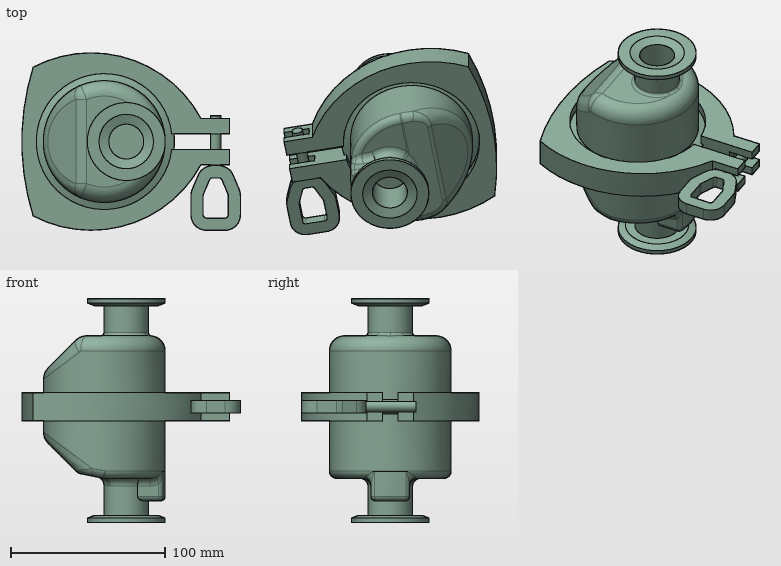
import cadquery as cq
import math

CHAMBER_DIA = 79.0
CHAMBER_RADIUS = CHAMBER_DIA / 2

ROOF_Z = 46.0
TOP_BEVEL_FOOT_Z = 22.0
TOP_FILLET = 10.0

FLOOR_Z = -46.5
BOTTOM_BEVEL_FOOT_Z = -20.5
BOTTOM_BEVEL_FILLET = 10.0
RAMP_RISE = 3.4
RAMP_END_X = 0.0
FLOOR_FILLET = 5.0

FERRULE_DIA = 50.5
FERRULE_RIM = 2.85
FERRULE_THICKNESS = 4.7
FERRULE_BACK_DIA = 41.0
TUBE_DIA = 29.0
BORE_DIA = 22.6
BORE_MOUTH_DIA = 35.2
BORE_MOUTH_DEPTH = 2.1
PORT_X = CHAMBER_RADIUS - FERRULE_DIA / 2
TOP_PORT_Z = 70.0
BOTTOM_PORT_Z = -75.0
TOP_TUBE_FILLET = 2.0
BOTTOM_TUBE_FILLET = 5.0

LUG_WIDTH = 25.0
LUG_BOTTOM_Z = -61.0
LUG_TOP_Z = -42.0
LUG_FILLET = 3.0

FLANGE_DIA = 91.0
FLANGE_RIM = 5.0
FLANGE_SLOPE = math.radians(20)

CLAMP_HEIGHT = 18.4
CLAMP_OPENING_DIA = 88.0
CLAMP_BACK_X = -53.42
CLAMP_CORNER = (-46.1, 48.2)
CLAMP_CREST = (-8.3, 57.51)
CLAMP_ARM_ROOT_X = 62.6
CLAMP_ARM_END_X = 81.2
CLAMP_ARM_Y = 15.1
CLAMP_GAP = 10.0

PIN_DIA = 7.0
PIN_X = 72.18
PIN_END_Y = 16.8
PIN_SLOT_X = 64.7
HANDLE_HEIGHT = 8.2
HANDLE_WALL = 8.0
WINDOW_TOP_Y = -23.6
WINDOW_SHOULDER_Y = -34.5
WINDOW_BOTTOM_Y = -49.51
WINDOW_WIDTH = 16.14
WINDOW_TOP_WIDTH = 6.9
WINDOW_CORNER = 2.0


def prism(points):
    """Extrude an XZ outline far enough in Y to span the whole chamber."""
    return cq.Workplane("XZ").polyline(points).close().extrude(CHAMBER_DIA, both=True)


def bevelled_cylinder(end_z, foot_z):
    """Half of the chamber, from Z = 0 to end_z, with a 45 degree bevel on its -X side."""
    bevel_end_x = abs(end_z - foot_z) - CHAMBER_RADIUS
    keep = prism(
        [
            (-CHAMBER_RADIUS, 0),
            (CHAMBER_RADIUS, 0),
            (CHAMBER_RADIUS, end_z),
            (bevel_end_x, end_z),
            (-CHAMBER_RADIUS, foot_z),
        ]
    )
    return cq.Workplane("XY").circle(CHAMBER_RADIUS).extrude(end_z).intersect(keep)


def box_between(x, z):
    """Selector for edges centred inside the given X and Z ranges."""
    reach = CHAMBER_DIA
    return cq.selectors.BoxSelector((x[0], -reach, z[0]), (x[1], reach, z[1]))


def edges_within(reach, z):
    """Selector for edges lying wholly within reach of the port axis and in a Z range."""
    return cq.selectors.BoxSelector(
        (PORT_X - reach, -reach, z[0]), (PORT_X + reach, reach, z[1]), boundingbox=True
    )


def upper_chamber():
    half = bevelled_cylinder(ROOF_Z, TOP_BEVEL_FOOT_Z)
    seam_x = CHAMBER_RADIUS - 1
    rounded = box_between((-CHAMBER_RADIUS, seam_x), (TOP_BEVEL_FOOT_Z, ROOF_Z + 1))
    return half.edges(rounded).fillet(TOP_FILLET)


def lower_chamber():
    long_end_z = BOTTOM_BEVEL_FOOT_Z - CHAMBER_RADIUS
    half = bevelled_cylinder(long_end_z, BOTTOM_BEVEL_FOOT_Z)
    bevel_curve = box_between((-CHAMBER_RADIUS, -1), (long_end_z + 1, -1))
    half = half.edges(bevel_curve).fillet(BOTTOM_BEVEL_FILLET)

    ramp_start_z = FLOOR_Z + RAMP_RISE
    ramp_start_x = BOTTOM_BEVEL_FOOT_Z - ramp_start_z - CHAMBER_RADIUS
    below_floor = prism(
        [
            (CHAMBER_DIA, FLOOR_Z),
            (RAMP_END_X, FLOOR_Z),
            (ramp_start_x, ramp_start_z),
            (-CHAMBER_DIA, ramp_start_z),
            (-CHAMBER_DIA, 2 * BOTTOM_PORT_Z),
            (CHAMBER_DIA, 2 * BOTTOM_PORT_Z),
        ]
    )
    half = half.cut(below_floor)
    low_edges = box_between((-CHAMBER_DIA, CHAMBER_DIA), (FLOOR_Z - 1, ramp_start_z + 1))
    return half.edges(low_edges).fillet(FLOOR_FILLET)


def flange():
    """Flange whose two faces slope away from the chamber wall."""
    rim_radius = FLANGE_DIA / 2
    rim_z = FLANGE_RIM / 2
    root_z = rim_z + rim_radius * math.tan(FLANGE_SLOPE)
    return (
        cq.Workplane("XZ")
        .polyline([(0, -root_z), (rim_radius, -rim_z), (rim_radius, rim_z), (0, root_z)])
        .close()
        .revolve(360, (0, 0, 0), (0, 1, 0))
    )


def port_turning(points, end_z):
    """Revolve (radius, depth below the port face) points about the port axis."""
    inward = -math.copysign(1, end_z)
    outline = [(radius, end_z + inward * depth) for radius, depth in points]
    turned = cq.Workplane("XZ").polyline(outline).close().revolve(360, (0, 0, 0), (0, 1, 0))
    return turned.translate((PORT_X, 0, 0))


def tube(end_z):
    return cq.Workplane("XY").center(PORT_X, 0).circle(TUBE_DIA / 2).extrude(end_z)


def ferrule(end_z):
    return port_turning(
        [
            (0, 0),
            (FERRULE_DIA / 2, 0),
            (FERRULE_DIA / 2, FERRULE_RIM),
            (FERRULE_BACK_DIA / 2, FERRULE_THICKNESS),
            (0, FERRULE_THICKNESS),
        ],
        end_z,
    )


def bore(end_z, floor_z):
    """Blind bore with a conical mouth, ending level with the chamber wall."""
    depth = abs(end_z - floor_z)
    return port_turning(
        [
            (0, 0),
            (BORE_MOUTH_DIA / 2, 0),
            (BORE_DIA / 2, BORE_MOUTH_DEPTH),
            (BORE_DIA / 2, depth),
            (0, depth),
        ],
        end_z,
    )


def lug():
    """Block under the floor whose outer face follows the chamber wall."""
    height = LUG_TOP_Z - LUG_BOTTOM_Z
    base = cq.Workplane("XY").workplane(offset=LUG_BOTTOM_Z)
    disc = base.circle(CHAMBER_RADIUS).extrude(height)
    bar = base.center(PORT_X + CHAMBER_RADIUS, 0).rect(CHAMBER_DIA, LUG_WIDTH).extrude(height)
    block = disc.intersect(bar)
    outer_corners = box_between((PORT_X + 1, CHAMBER_RADIUS - 1), (LUG_BOTTOM_Z, LUG_TOP_Z))
    block = block.edges("|Z").edges(outer_corners).fillet(LUG_FILLET)
    return block.faces("<Z").edges("not <X").fillet(LUG_FILLET)


def upper_half():
    joined = upper_chamber().union(tube(TOP_PORT_Z))
    tube_foot = edges_within(TUBE_DIA / 2 + 1, (ROOF_Z - 1, ROOF_Z + 1))
    return joined.edges(tube_foot).fillet(TOP_TUBE_FILLET)


def lower_half():
    joined = lower_chamber().union(tube(BOTTOM_PORT_Z)).union(lug())
    lug_reach = CHAMBER_RADIUS - PORT_X - 2
    tube_and_lug_foot = edges_within(lug_reach, (FLOOR_Z - 0.5, FLOOR_Z + 2))
    return joined.edges(tube_and_lug_foot).fillet(BOTTOM_TUBE_FILLET)


def centred_extrude(sketch, height):
    return sketch.extrude(height / 2, both=True)


def clamp_plate():
    corner_x, corner_y = CLAMP_CORNER
    crest_x, crest_y = CLAMP_CREST
    outline = (
        cq.Workplane("XY")
        .moveTo(corner_x, corner_y)
        .threePointArc((crest_x, crest_y), (CLAMP_ARM_ROOT_X, CLAMP_ARM_Y))
        .lineTo(CLAMP_ARM_END_X, CLAMP_ARM_Y)
        .lineTo(CLAMP_ARM_END_X, -CLAMP_ARM_Y)
        .lineTo(CLAMP_ARM_ROOT_X, -CLAMP_ARM_Y)
        .threePointArc((crest_x, -crest_y), (corner_x, -corner_y))
        .threePointArc((CLAMP_BACK_X, 0), (corner_x, corner_y))
        .close()
    )
    plate = centred_extrude(outline, CLAMP_HEIGHT)
    opening = centred_extrude(cq.Workplane("XY").circle(CLAMP_OPENING_DIA / 2), CLAMP_HEIGHT)
    gap = cq.Workplane("XY").box(CLAMP_ARM_END_X, CLAMP_GAP, CLAMP_HEIGHT, centered=(False, True, True))
    slot_length = CLAMP_ARM_END_X - PIN_SLOT_X
    pin_slot = cq.Workplane("XY", origin=(PIN_SLOT_X, 0, 0)).box(
        slot_length, 2 * CLAMP_ARM_Y, PIN_DIA, centered=(False, True, True)
    )
    return plate.cut(opening).cut(gap).cut(pin_slot)


def make_housing():
    """Chamber with its ports, flange and the clamp plate closed around the flange."""
    body = upper_half().union(lower_half()).union(flange()).union(clamp_plate())
    for end_z, floor_z in ((TOP_PORT_Z, ROOF_Z), (BOTTOM_PORT_Z, FLOOR_Z)):
        body = body.union(ferrule(end_z)).cut(bore(end_z, floor_z))
    return body


def handle():
    """Ring handle of constant wall thickness around a house-shaped window."""
    half_top = WINDOW_TOP_WIDTH / 2
    half_width = WINDOW_WIDTH / 2
    window_outline = cq.Workplane("XY").polyline(
        [
            (PIN_X - half_top, WINDOW_TOP_Y),
            (PIN_X + half_top, WINDOW_TOP_Y),
            (PIN_X + half_width, WINDOW_SHOULDER_Y),
            (PIN_X + half_width, WINDOW_BOTTOM_Y),
            (PIN_X - half_width, WINDOW_BOTTOM_Y),
            (PIN_X - half_width, WINDOW_SHOULDER_Y),
        ]
    ).close()
    window = centred_extrude(window_outline, HANDLE_HEIGHT)
    window = window.edges("|Z").fillet(WINDOW_CORNER)
    outer = window.faces("<Z").wires().toPending().offset2D(HANDLE_WALL).extrude(HANDLE_HEIGHT, combine=False)
    return outer.cut(window)


def pin():
    length = PIN_END_Y - WINDOW_TOP_Y - HANDLE_WALL / 2
    return cq.Workplane("XZ", origin=(PIN_X, PIN_END_Y, 0)).circle(PIN_DIA / 2).extrude(length)


def make_locking_pin():
    """Pin lying in the slots of the clamp arms, with its ring handle."""
    return pin().union(handle())


housing = make_housing()
locking_pin = make_locking_pin()
result = cq.Compound.makeCompound([housing.val(), locking_pin.val()])